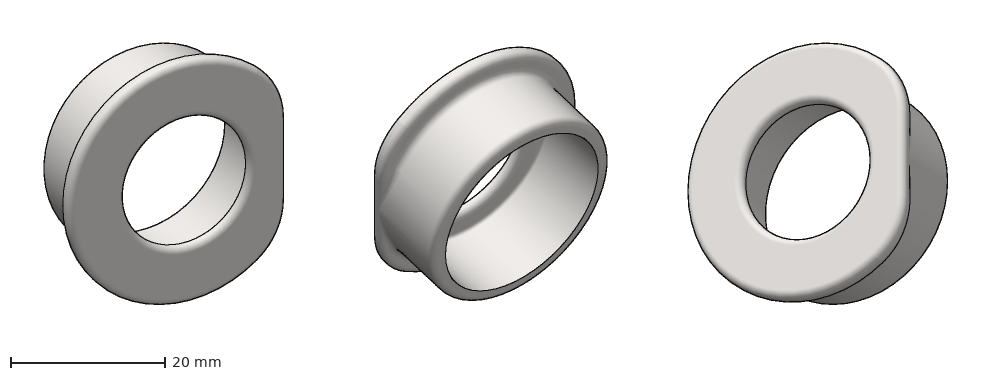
import cadquery as cq
import math

sleeve_diameter = 29.0
bore_diameter = 25.0
total_length = 13.05
edge_radius = 1.0
root_radius = 1.0
bore_corner_radius = 0.5

flange_diameter = 34.84
flange_thickness = 2.5
lip_thickness = 2.0
opening_diameter = 18.4
flat_corner_radius = 10.0
flat_clearance = 0.01

sleeve_radius = sleeve_diameter / 2
flange_radius = flange_diameter / 2
flange_start = total_length - flange_thickness
flat_offset = sleeve_radius + flat_clearance


def flange_outline():
    """Disc outline with one flat on +Y, blended into the disc by tangent corner arcs."""
    center_y = flat_offset - flat_corner_radius
    center_z = math.sqrt((flange_radius - flat_corner_radius) ** 2 - center_y**2)
    disc_angle = math.atan2(center_z, center_y)
    middle_angle = disc_angle / 2
    blend_y = flange_radius * math.cos(disc_angle)
    blend_z = flange_radius * math.sin(disc_angle)
    middle_y = center_y + flat_corner_radius * math.cos(middle_angle)
    middle_z = center_z + flat_corner_radius * math.sin(middle_angle)
    return (
        cq.Workplane("YZ", origin=(flange_start, 0, 0))
        .moveTo(flat_offset, -center_z)
        .lineTo(flat_offset, center_z)
        .threePointArc((middle_y, middle_z), (blend_y, blend_z))
        .threePointArc((-flange_radius, 0), (blend_y, -blend_z))
        .threePointArc((middle_y, -middle_z), (flat_offset, -center_z))
        .close()
    )


def flange():
    """Flange plate, rounded along both edges of its rim."""
    return flange_outline().extrude(flange_thickness).edges().fillet(edge_radius)


def sleeve():
    """Outer sleeve, rounded at its open end and running into the flange by the rim radius."""
    body = cq.Workplane("YZ").circle(sleeve_radius).extrude(flange_start + edge_radius)
    return body.faces("<X").edges().fillet(edge_radius)


def flanged_sleeve():
    """Sleeve joined to the flange, with a concave fillet along the line where they meet."""
    reach = sleeve_radius + flat_clearance
    root_zone = cq.selectors.BoxSelector(
        (flange_start - flat_clearance, -reach, -reach),
        (flange_start + edge_radius + flat_clearance, reach, reach),
        boundingbox=True,
    )
    return flange().union(sleeve()).edges(root_zone).fillet(root_radius)


def cavity():
    """Bore with a rounded floor corner, opening through a lip whose inner rim is fully round."""
    bore_radius = bore_diameter / 2
    opening_radius = opening_diameter / 2
    floor = total_length - lip_thickness
    lip_round = lip_thickness / 2
    corner_inset = bore_corner_radius * (1 - math.sqrt(0.5))
    return (
        cq.Workplane("XY")
        .lineTo(0, bore_radius)
        .lineTo(floor - bore_corner_radius, bore_radius)
        .threePointArc(
            (floor - corner_inset, bore_radius - corner_inset),
            (floor, bore_radius - bore_corner_radius),
        )
        .lineTo(floor, opening_radius + lip_round)
        .threePointArc(
            (floor + lip_round, opening_radius),
            (total_length, opening_radius + lip_round),
        )
        .lineTo(total_length, 0)
        .close()
        .revolve(360, (0, 0, 0), (1, 0, 0))
    )


result = flanged_sleeve().cut(cavity())